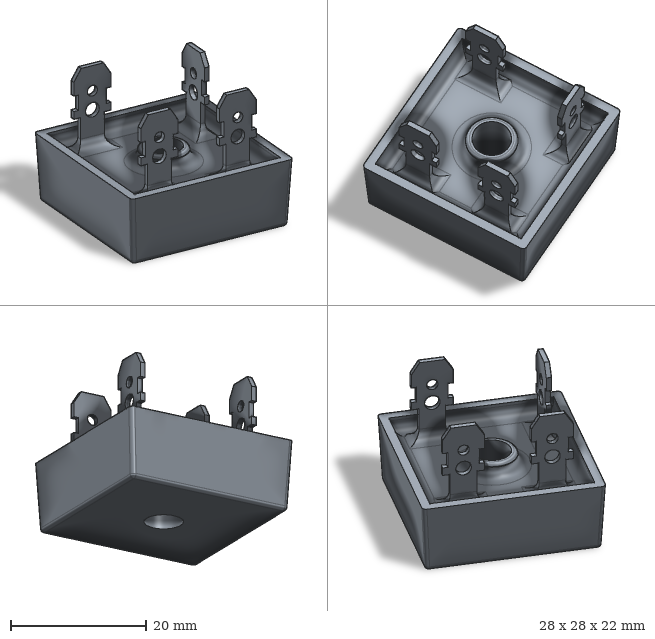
import cadquery as cq

case_size = 28.0
case_height = 11.0
draft_angle = 2.9
case_edge_radius = 0.65

cavity_size = 25.15
cavity_depth = 2.5
floor_z = case_height - cavity_depth
meniscus_radius = 2.0
meniscus_top_z = floor_z + meniscus_radius

hole_radius = 2.9
boss_radius = 3.9
boss_edge_radius = 0.6
boss_top_z = case_height

tip_z = 22.0
terminal_thickness = 0.8
tip_width = 3.85
blade_width = 6.4
notch_width = 4.82
stem_width = 4.1
shoulder_drop = 1.95
notch_top_drop = 4.23
notch_bottom_drop = 6.72
tab_bottom_drop = 8.0
small_hole_diameter = 1.7
small_hole_drop = 4.1
large_hole_diameter = 2.35
large_hole_drop = 7.2

plate_offset = 9.6
along_offset = 6.78
terminals = [
    (-along_offset, plate_offset, 0),
    (plate_offset, along_offset, 90),
    (plate_offset, -along_offset, 90),
    (-plate_offset, -along_offset, 90),
]


def make_case():
    body = (
        cq.Workplane("XY", origin=(0, 0, case_height))
        .rect(case_size, case_size)
        .extrude(-case_height, taper=draft_angle)
    )
    body = body.edges("not(|X or |Y)").fillet(case_edge_radius)
    return body.faces("<Z").edges().fillet(case_edge_radius)


def cavity_prism(plane):
    """Cavity section with rounded lower corners, extended along the plane's normal."""
    half = cavity_size / 2
    return (
        cq.Workplane(plane)
        .moveTo(-half, case_height)
        .lineTo(-half, meniscus_top_z)
        .radiusArc((-half + meniscus_radius, floor_z), -meniscus_radius)
        .lineTo(half - meniscus_radius, floor_z)
        .radiusArc((half, meniscus_top_z), -meniscus_radius)
        .lineTo(half, case_height)
        .close()
        .extrude(half, both=True)
    )


def make_cavity():
    """Crossing the two prisms mitres the resin meniscus in the corners."""
    return cavity_prism("XZ").intersect(cavity_prism("YZ"))


def make_boss():
    return (
        cq.Workplane("XZ")
        .moveTo(0, floor_z)
        .lineTo(boss_radius + meniscus_radius, floor_z)
        .radiusArc((boss_radius, meniscus_top_z), meniscus_radius)
        .lineTo(boss_radius, boss_top_z - boss_edge_radius)
        .radiusArc((boss_radius - boss_edge_radius, boss_top_z), -boss_edge_radius)
        .lineTo(0, boss_top_z)
        .close()
        .revolve(360, (0, 0), (0, 1))
    )


def meniscus_prism(plane, width, length):
    """Resin creeping up both sides of a plate of the given width."""
    top = width / 2
    foot = top + meniscus_radius
    return (
        cq.Workplane(plane)
        .moveTo(-foot, floor_z)
        .lineTo(foot, floor_z)
        .radiusArc((top, meniscus_top_z), meniscus_radius)
        .lineTo(-top, meniscus_top_z)
        .radiusArc((-foot, floor_z), meniscus_radius)
        .close()
        .extrude(length / 2 + meniscus_radius, both=True)
    )


def make_terminal():
    right_side = [
        (tip_width / 2, tip_z),
        (blade_width / 2, tip_z - shoulder_drop),
        (blade_width / 2, tip_z - notch_top_drop),
        (notch_width / 2, tip_z - notch_top_drop),
        (notch_width / 2, tip_z - notch_bottom_drop),
        (blade_width / 2, tip_z - notch_bottom_drop),
        (blade_width / 2, tip_z - tab_bottom_drop),
        (stem_width / 2, tip_z - tab_bottom_drop),
        (stem_width / 2, floor_z),
    ]
    left_side = [(-x, z) for x, z in reversed(right_side)]
    plate = (
        cq.Workplane("XZ")
        .polyline(right_side + left_side)
        .close()
        .extrude(terminal_thickness / 2, both=True)
    )
    holes = [(small_hole_diameter, small_hole_drop), (large_hole_diameter, large_hole_drop)]
    for diameter, drop in holes:
        hole = (
            cq.Workplane("XZ")
            .center(0, tip_z - drop)
            .circle(diameter / 2)
            .extrude(terminal_thickness, both=True)
        )
        plate = plate.cut(hole)
    across = meniscus_prism("XZ", stem_width, terminal_thickness)
    along = meniscus_prism("YZ", terminal_thickness, stem_width)
    return plate.union(across.intersect(along))


result = make_case().cut(make_cavity()).union(make_boss())
for x, y, turn in terminals:
    terminal = make_terminal().rotate((0, 0, 0), (0, 0, 1), turn).translate((x, y, 0))
    result = result.union(terminal)

mounting_hole = cq.Workplane("XY").circle(hole_radius).extrude(case_height)
result = result.cut(mounting_hole)